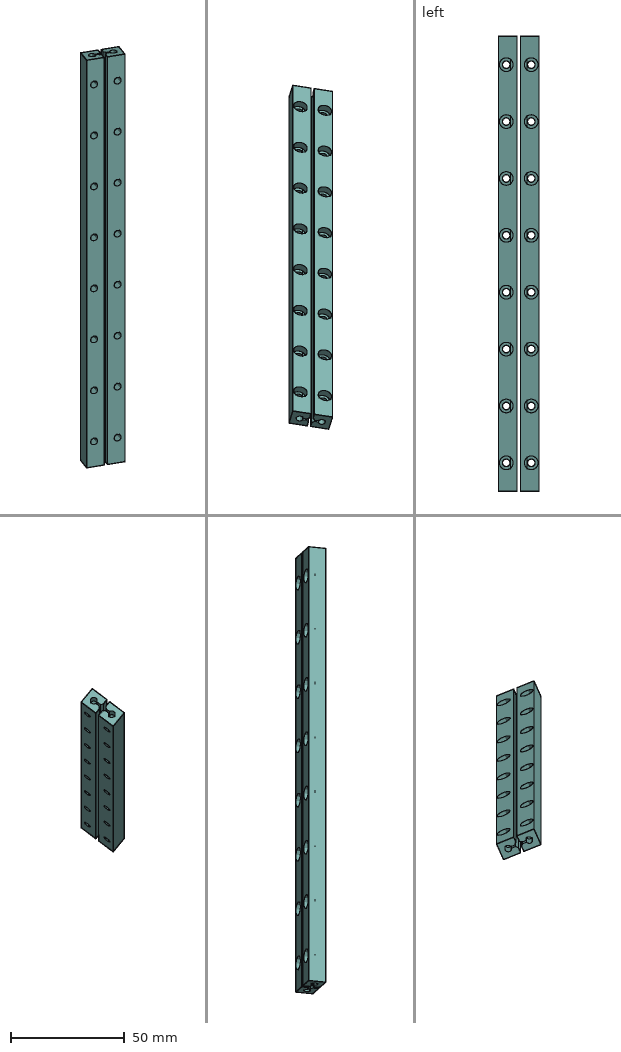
import cadquery as cq
import math

LENGTH = 200.0
HEIGHT = 8.0
PAIR_WIDTH = 18.0
GAP = 1.5
RAIL_WIDTH = (PAIR_WIDTH - GAP) / 2

EDGE_CHAMFER = 0.12

GROOVE_DEPTH = 1.5
GROOVE_ROOT_OFFSET = GAP / 2 + GROOVE_DEPTH
SLOT_WIDTH = 0.8
SLOT_DEPTH = 1.5

HOLE_COUNT = 8
HOLE_PITCH = LENGTH / HOLE_COUNT
HOLE_DIAMETER = 3.2
COUNTERBORE_DIAMETER = 6.0
COUNTERBORE_DEPTH = 3.2
COUNTERBORE_WALL = 0.5
HOLE_OFFSET = PAIR_WIDTH / 2 - COUNTERBORE_WALL - COUNTERBORE_DIAMETER / 2

END_HOLE_DIAMETER = 3.0
END_HOLE_DEPTH = 6.0
END_HOLE_OFFSET = 5.0
DRILL_TIP_ANGLE = 118.0


def rail_blank():
    """Bar for the rail on the +Y side, with all its edges chamfered."""
    centre_y = (PAIR_WIDTH - RAIL_WIDTH) / 2
    bar = cq.Workplane("XY").center(0, centre_y).rect(HEIGHT, RAIL_WIDTH).extrude(LENGTH)
    return bar.edges().chamfer(EDGE_CHAMFER)


def roller_groove():
    """V groove with its relief slot, running the full length of the rail's inner side."""
    half_slot = SLOT_WIDTH / 2
    slot_mouth = GROOVE_ROOT_OFFSET - half_slot
    slot_floor = GROOVE_ROOT_OFFSET + SLOT_DEPTH
    profile = [
        (-GROOVE_ROOT_OFFSET, 0),
        (-half_slot, slot_mouth),
        (-half_slot, slot_floor),
        (half_slot, slot_floor),
        (half_slot, slot_mouth),
        (GROOVE_ROOT_OFFSET, 0),
    ]
    return cq.Workplane("XY").polyline(profile).close().extrude(LENGTH)


def mounting_hole(z):
    """Through hole along X, counterbored from the -X face."""
    start = cq.Vector(-HEIGHT / 2, HOLE_OFFSET, z)
    along_x = cq.Vector(1, 0, 0)
    bore = cq.Solid.makeCylinder(HOLE_DIAMETER / 2, HEIGHT, start, along_x)
    counterbore = cq.Solid.makeCylinder(COUNTERBORE_DIAMETER / 2, COUNTERBORE_DEPTH, start, along_x)
    return bore.fuse(counterbore)


def end_hole(z, direction):
    """Blind hole with a conical drill tip, drilled from height z along +Z or -Z."""
    radius = END_HOLE_DIAMETER / 2
    tip_length = radius / math.tan(math.radians(DRILL_TIP_ANGLE / 2))
    axis = cq.Vector(0, 0, direction)
    mouth = cq.Vector(0, END_HOLE_OFFSET, z)
    bore = cq.Solid.makeCylinder(radius, END_HOLE_DEPTH, mouth, axis)
    tip = cq.Solid.makeCone(radius, 0, tip_length, mouth + axis * END_HOLE_DEPTH, axis)
    return bore.fuse(tip)


def make_rail():
    """Complete rail on the +Y side."""
    rail = rail_blank().cut(roller_groove())
    for index in range(HOLE_COUNT):
        hole_z = (index + 0.5) * HOLE_PITCH
        rail = rail.cut(mounting_hole(hole_z))
    rail = rail.cut(end_hole(0, 1))
    return rail.cut(end_hole(LENGTH, -1))


rails = []
for mirrored in (False, True):
    rail = make_rail()
    if mirrored:
        rail = rail.mirror("XZ")
    rails.append(rail.val())

result = cq.Compound.makeCompound(rails)